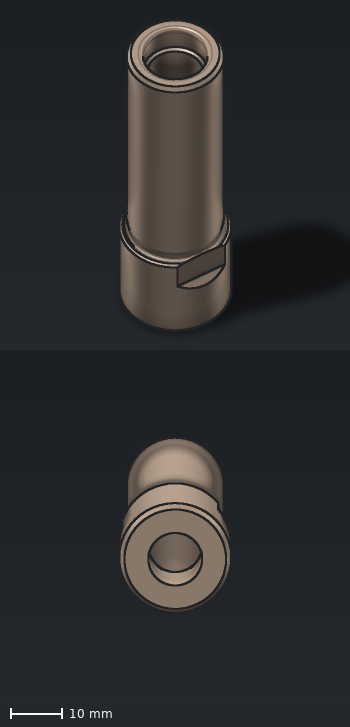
import cadquery as cq
import math

length = 70.0
collar_radius = 22.0 / 2
shaft_radius = 19.05 / 2
neck_radius = 18.6 / 2

base_chamfer = 1.05
collar_edge = 19.5
collar_top = 19.95
neck_top = 21.2
shaft_bottom = 22.05

collar_bevel_width = 0.6
neck_fillet = 0.6
shaft_chamfer = 0.85

bore_radius = 10.5 / 2
upper_bore_radius = 10.9 / 2
counterbore_radius = 12.5 / 2
counterbore_depth = 5.1
seat_cone_angle = 30.0
bore_step_height = 12.5
mouth_fillet = 1.0

flat_distance = shaft_radius
flat_bottom = 14.0


def make_body():
    """Revolve the stepped outside profile about Z."""
    profile = (
        cq.Workplane("XZ")
        .lineTo(collar_radius - base_chamfer, 0)
        .lineTo(collar_radius, base_chamfer)
        .lineTo(collar_radius, collar_edge)
        .lineTo(collar_radius - collar_bevel_width, collar_top)
        .lineTo(neck_radius + neck_fillet, collar_top)
        .radiusArc((neck_radius, collar_top + neck_fillet), neck_fillet)
        .lineTo(neck_radius, neck_top)
        .lineTo(shaft_radius, shaft_bottom)
        .lineTo(shaft_radius, length - shaft_chamfer)
        .lineTo(shaft_radius - shaft_chamfer, length)
        .lineTo(0, length)
        .close()
    )
    return profile.revolve(360, (0, 0), (0, 1))


def make_bore():
    """Through bore with a lower step, a conical seat, a counterbore and a rounded mouth."""
    seat_top = length - counterbore_depth
    cone_width = counterbore_radius - upper_bore_radius
    seat_bottom = seat_top - cone_width * math.tan(math.radians(seat_cone_angle))
    profile = (
        cq.Workplane("XZ")
        .lineTo(bore_radius, 0)
        .lineTo(bore_radius, bore_step_height)
        .lineTo(upper_bore_radius, bore_step_height)
        .lineTo(upper_bore_radius, seat_bottom)
        .lineTo(counterbore_radius, seat_top)
        .lineTo(counterbore_radius, length - mouth_fillet)
        .radiusArc((counterbore_radius + mouth_fillet, length), mouth_fillet)
        .lineTo(0, length)
        .close()
    )
    return profile.revolve(360, (0, 0), (0, 1))


def make_flat_cutter(side):
    """Cutter for one wrench flat, with a 45 degree run-out at its lower end."""
    runout = collar_radius - flat_distance
    return (
        cq.Workplane("XZ")
        .moveTo(side * flat_distance, flat_bottom)
        .lineTo(side * collar_radius, flat_bottom - runout)
        .lineTo(side * collar_radius, shaft_bottom)
        .lineTo(side * flat_distance, shaft_bottom)
        .close()
        .extrude(collar_radius, both=True)
    )


result = make_body().cut(make_bore())
for side in (-1, 1):
    result = result.cut(make_flat_cutter(side))